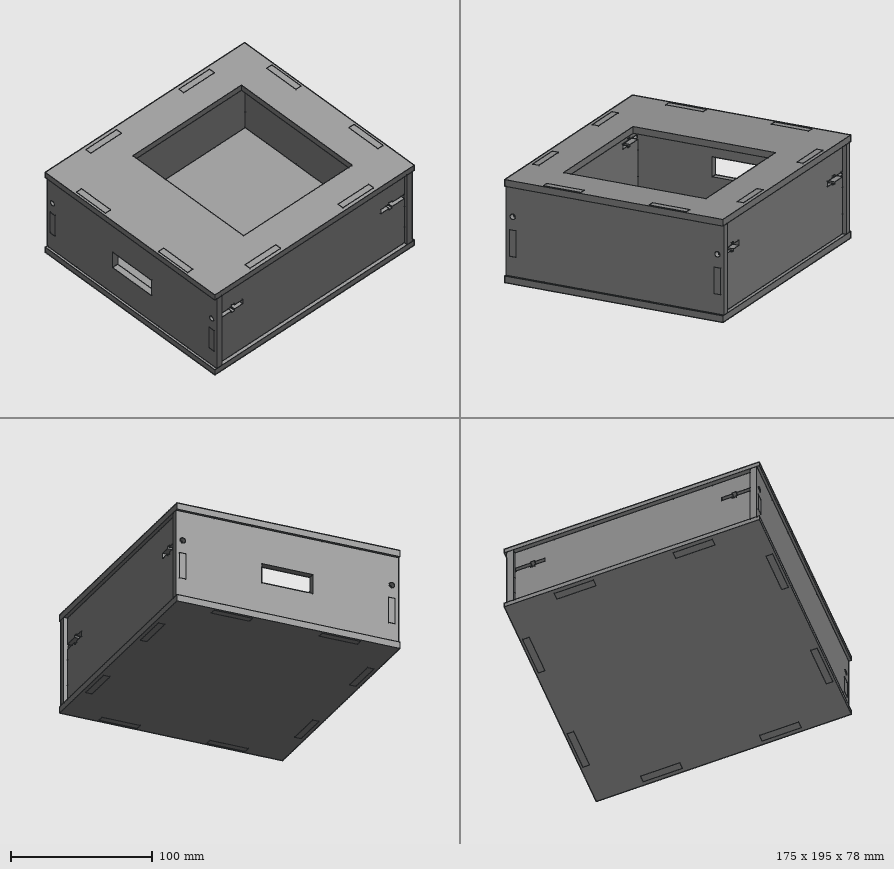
import cadquery as cq

WIDTH = 175.0
DEPTH = 195.0
HEIGHT = 78.0

PLATE = 5.0
WALL = 5.0

END_SETBACK = 2.0
SIDE_SETBACK = 3.0

TAB_LENGTH = 30.0
END_TAB_SPACING = 84.6
SIDE_TAB_SPACING = 90.9

UPRIGHT_TAB_BOTTOM = 19.9
UPRIGHT_TAB_HEIGHT = 20.0

OPENING_WIDTH = 114.0
OPENING_DEPTH = 106.0
OPENING_BACK_MARGIN = 32.0

WINDOW_WIDTH = 40.0
WINDOW_HEIGHT = 15.0
WINDOW_BOTTOM = 30.0

SCREW_DIAMETER = 4.0
SCREW_Z = 50.1
SCREW_SLOT_LENGTH = 23.0
NUT_THICKNESS = 3.1
NUT_WIDTH = 7.0
NUT_DISTANCE = 13.5

WALL_HEIGHT = HEIGHT - 2 * PLATE
MID_Z = HEIGHT / 2
PLATE_LEVELS = (PLATE / 2, HEIGHT - PLATE / 2)
END_Y = DEPTH / 2 - END_SETBACK - WALL / 2
SIDE_X = WIDTH / 2 - SIDE_SETBACK - WALL / 2
SIDE_HALF_LENGTH = END_Y - WALL / 2
UPRIGHT_TAB_Z = UPRIGHT_TAB_BOTTOM + UPRIGHT_TAB_HEIGHT / 2
SIGNS = (-1, 1)


def block(size, centre):
    """Box of the given size about its centre point."""
    return cq.Workplane("XY").box(*size).translate(centre)


def end_tab(side, y, z):
    """Tab of a front or back panel, as deep as the plate it fills."""
    return block((TAB_LENGTH, WALL, PLATE), (side * END_TAB_SPACING / 2, y, z))


def side_tab(end, x, z):
    """Tab of a side panel, as deep as the plate it fills."""
    return block((WALL, TAB_LENGTH, PLATE), (x, end * SIDE_TAB_SPACING / 2, z))


def upright_tab(x, y):
    """Tab of a side panel, as deep as the front or back panel it fills."""
    return block((WALL, WALL, UPRIGHT_TAB_HEIGHT), (x, y, UPRIGHT_TAB_Z))


def make_plate(z):
    """Rectangular plate with a slot for every panel tab."""
    plate = block((WIDTH, DEPTH, PLATE), (0, 0, z))
    for side in SIGNS:
        for end in SIGNS:
            plate = plate.cut(end_tab(side, end * END_Y, z))
            plate = plate.cut(side_tab(end, side * SIDE_X, z))
    return plate


def make_top_plate(z):
    """Slotted plate with the large opening, which lies nearer the back."""
    opening_y = DEPTH / 2 - OPENING_BACK_MARGIN - OPENING_DEPTH / 2
    opening = block((OPENING_WIDTH, OPENING_DEPTH, PLATE), (0, opening_y, z))
    return make_plate(z).cut(opening)


def make_end_panel(y):
    """Full-width front or back panel with plate tabs, upright slots and screw holes."""
    panel = block((WIDTH, WALL, WALL_HEIGHT), (0, y, MID_Z))
    for side in SIGNS:
        for z in PLATE_LEVELS:
            panel = panel.union(end_tab(side, y, z))
        x = side * SIDE_X
        screw_hole = (
            cq.Workplane("XZ")
            .circle(SCREW_DIAMETER / 2)
            .extrude(WALL / 2, both=True)
            .translate((x, y, SCREW_Z))
        )
        panel = panel.cut(upright_tab(x, y)).cut(screw_hole)
    return panel


def make_front_panel(y):
    """End panel with a rectangular window."""
    window_z = WINDOW_BOTTOM + WINDOW_HEIGHT / 2
    return make_end_panel(y).cut(block((WINDOW_WIDTH, WALL, WINDOW_HEIGHT), (0, y, window_z)))


def t_slot(end, x):
    """Screw slot open at the panel end, crossed by a pocket for a nut."""
    slot_y = end * (SIDE_HALF_LENGTH - SCREW_SLOT_LENGTH / 2)
    nut_y = end * (SIDE_HALF_LENGTH - NUT_DISTANCE)
    slot = block((WALL, SCREW_SLOT_LENGTH, SCREW_DIAMETER), (x, slot_y, SCREW_Z))
    return slot.union(block((WALL, NUT_THICKNESS, NUT_WIDTH), (x, nut_y, SCREW_Z)))


def make_side_panel(x):
    """Side panel between the front and back panels, with tabs on all four edges."""
    panel = block((WALL, 2 * SIDE_HALF_LENGTH, WALL_HEIGHT), (x, 0, MID_Z))
    for end in SIGNS:
        for z in PLATE_LEVELS:
            panel = panel.union(side_tab(end, x, z))
        panel = panel.union(upright_tab(x, end * END_Y)).cut(t_slot(end, x))
    return panel


bottom_level, top_level = PLATE_LEVELS
bottom_plate = make_plate(bottom_level)
top_plate = make_top_plate(top_level)
front_panel = make_front_panel(-END_Y)
back_panel = make_end_panel(END_Y)
side_panels = [make_side_panel(side * SIDE_X) for side in SIGNS]

result = cq.Compound.makeCompound(
    [
        bottom_plate.val(),
        top_plate.val(),
        front_panel.val(),
        back_panel.val(),
        *[panel.val() for panel in side_panels],
    ]
)